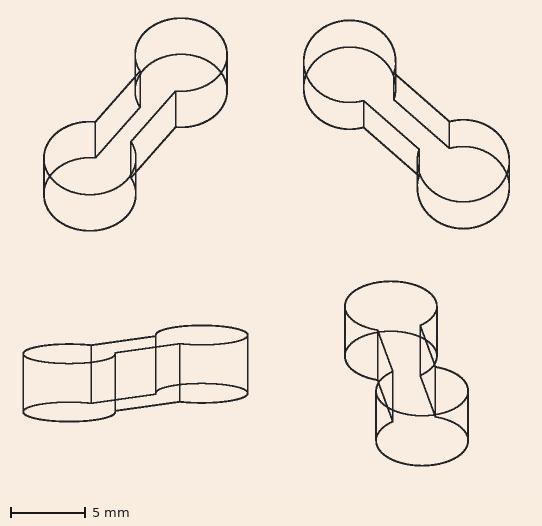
import cadquery as cq

length = 16.86
disc_diameter = 6.19
web_width = 2.92
thickness = 4.0

center_distance = length - disc_diameter

ends = (
    cq.Workplane("XY")
    .pushPoints([(0, -center_distance / 2), (0, center_distance / 2)])
    .circle(disc_diameter / 2)
    .extrude(thickness)
)

web = cq.Workplane("XY").rect(web_width, center_distance).extrude(thickness)

result = ends.union(web)